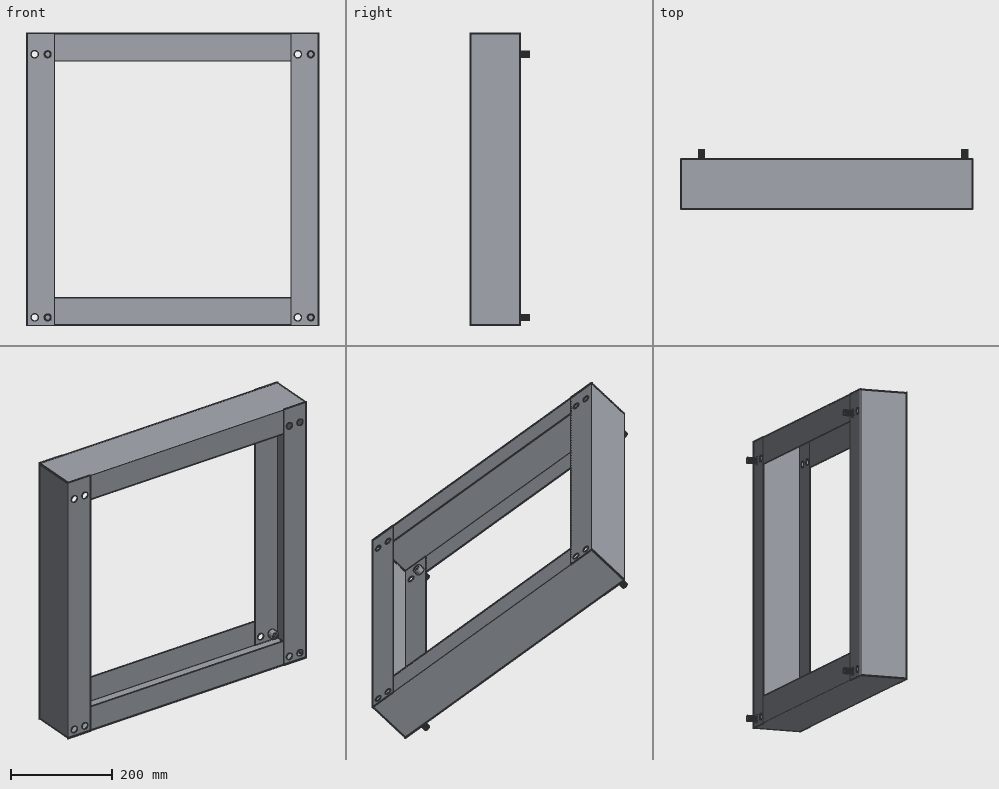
import cadquery as cq
import math

FRAME_SIZE = 575.0
FRAME_DEPTH = 100.0
FLANGE_WIDTH = 55.0
SHEET = 2.0
BEND_OUTER_RADIUS = SHEET
HALF_SIZE = FRAME_SIZE / 2
HALF_DEPTH = FRAME_DEPTH / 2
INNER_DEPTH = FRAME_DEPTH - 2 * SHEET
RAIL_FLANGE_LENGTH = FRAME_SIZE - 2 * FLANGE_WIDTH
WEB_LENGTH = FRAME_SIZE - 2 * BEND_OUTER_RADIUS

NEAR_EDGE = 16.0
FAR_EDGE = 41.5
CLEARANCE_DIAMETER = 14.0

SCREW_DIAMETER = 12.0
SCREW_LENGTH = 20.0
HEAD_DIAMETER = 18.0
HEAD_HEIGHT = 12.0
HEAD_FILLET = 1.2
SOCKET_WIDTH = 10.0
SOCKET_DEPTH = 6.0
THREAD_PITCH = 1.75
THREAD_DEPTH = 0.9
THREAD_COUNT = int((SCREW_LENGTH - SHEET) / THREAD_PITCH)
COS_30 = math.cos(math.radians(30))

OPEN_X = (-HALF_SIZE + NEAR_EDGE, HALF_SIZE - FAR_EDGE)
SCREW_X = (-HALF_SIZE + FAR_EDGE, HALF_SIZE - NEAR_EDGE)
ROW_Z = (-HALF_SIZE + NEAR_EDGE, HALF_SIZE - FAR_EDGE)
OPEN_POINTS = [(x, z) for x in OPEN_X for z in ROW_Z]
SCREW_POINTS = [(x, z) for x in SCREW_X for z in ROW_Z]


def channel(length):
    """Channel along Z, web on the -X side of the frame, with rounded outer and sharp inner bends."""
    outer = (
        cq.Workplane("XY")
        .box(FLANGE_WIDTH, FRAME_DEPTH, length, centered=(False, True, True))
        .edges("|Z and <X")
        .fillet(BEND_OUTER_RADIUS)
    )
    inner = (
        cq.Workplane("XY")
        .box(FLANGE_WIDTH, INNER_DEPTH, length, centered=(False, True, True))
        .translate((SHEET, 0, 0))
    )
    return outer.cut(inner).translate((-HALF_SIZE, 0, 0))


def drill(points, diameter, start_y, end_y):
    """Cylinders along Y that cut holes at (x, z) points."""
    return (
        cq.Workplane("XZ", origin=(0, start_y, 0))
        .pushPoints(points)
        .circle(diameter / 2)
        .extrude(start_y - end_y)
    )


def left_post():
    """Full-height channel on the -X side, before drilling, with its web shortened at both ends."""
    notch_height = (FRAME_SIZE - WEB_LENGTH) / 2
    post = channel(FRAME_SIZE)
    for side in (-1, 1):
        notch = cq.Workplane("XY").box(2 * SHEET, INNER_DEPTH, 2 * notch_height)
        post = post.cut(notch.translate((-HALF_SIZE, 0, side * HALF_SIZE)))
    return post


def drilled(post):
    """Post with the open holes and screw access holes, and snug screw holes in its +Y flange."""
    open_holes = drill(OPEN_POINTS, CLEARANCE_DIAMETER, -HALF_DEPTH, HALF_DEPTH)
    access_holes = drill(SCREW_POINTS, CLEARANCE_DIAMETER, -HALF_DEPTH, 0)
    screw_holes = drill(SCREW_POINTS, SCREW_DIAMETER, 0, HALF_DEPTH)
    return post.cut(open_holes).cut(access_holes).cut(screw_holes)


def top_rail():
    """Horizontal channel whose flanges fit between the posts and whose web reaches over them."""
    flanged = channel(RAIL_FLANGE_LENGTH)
    web = (
        cq.Workplane("XY")
        .box(SHEET, INNER_DEPTH, WEB_LENGTH, centered=(False, True, True))
        .translate((-HALF_SIZE, 0, 0))
    )
    return flanged.union(web).rotate((0, 0, 0), (0, 1, 0), 90)


def screw():
    """Cap screw along Y, its head seat at y = 0 and its thread pointing to +Y."""
    head = cq.Workplane("XZ").circle(HEAD_DIAMETER / 2).extrude(HEAD_HEIGHT)
    head = head.faces("<Y").edges().fillet(HEAD_FILLET)
    socket = (
        cq.Workplane("XZ", origin=(0, -HEAD_HEIGHT, 0))
        .polygon(6, SOCKET_WIDTH / COS_30)
        .extrude(-SOCKET_DEPTH)
    )
    crest_radius = SCREW_DIAMETER / 2
    root_radius = crest_radius - THREAD_DEPTH
    profile = cq.Workplane("XY").lineTo(crest_radius, 0).lineTo(crest_radius, SHEET)
    for turn in range(THREAD_COUNT):
        root_y = SHEET + (turn + 0.5) * THREAD_PITCH
        crest_y = SHEET + (turn + 1) * THREAD_PITCH
        profile = profile.lineTo(root_radius, root_y).lineTo(crest_radius, crest_y)
    shank = (
        profile.lineTo(crest_radius, SCREW_LENGTH)
        .lineTo(0, SCREW_LENGTH)
        .close()
        .revolve(360, (0, 0, 0), (0, 1, 0))
    )
    return head.cut(socket).union(shank)


posts = [drilled(left_post()), drilled(left_post().mirror("YZ"))]
rails = [top_rail(), top_rail().mirror("XY")]
screws = [screw().translate((x, HALF_DEPTH - SHEET, z)) for x, z in SCREW_POINTS]

result = cq.Compound.makeCompound([body.val() for body in posts + rails + screws])